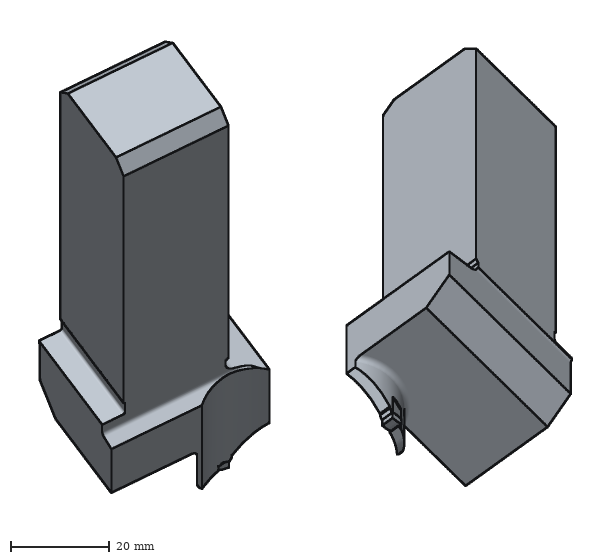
import cadquery as cq
import math

shank_size = 25.0
shank_top = 103.0
end_chamfer = 3.0

head_width = 28.59
head_front = -5.1
head_back = 32.99
shelf_height = 19.1
side_inset = 0.35
side_chamfer = 6.2
cove_top = 18.75
cove_bottom = 17.65
slope_angle = 15.0
slope = math.tan(math.radians(slope_angle))
slope_end_height = 14.9
side_fillet = 1.0
back_fillet = 2.6

front_neck_depth = 0.35
front_neck_top = 22.9
front_neck_fillet = 0.6
back_neck_depth = 0.7
back_neck_top = 21.2

blade_center = (34.0, 25.3)
blade_radius = 11.4
blade_bottom = -14.75
blade_fillet = 1.2
scallop_center = (38.3, 25.1)
scallop_radius = 13.0
heel_radius = 4.2
rake_start = -3.15
rake_end = (25.6, -12.2)
nose_height = -12.8

flat_front = 21.2
flat_back = 24.6
flat_top = -7.5
flat_sink = 0.1
flat_clearance = 1.0

tip_left = 22.4
tip_right = 25.2
tip_face = 25.0
tip_back = 22.2
tip_top = -13.3
tip_shoulder = 23.8
tip_face_top = -13.9
tip_heel = -14.95
tip_knee = (23.4, -15.65)
tip_edge = -16.0


def head_and_shank():
    """Common volume of the outline along X and the outline along Y."""
    side_slope_top = slope_end_height + slope * (head_width - shank_size)
    cove_height = cove_top - cove_bottom
    cove_radius = (cove_height**2 + side_inset**2) / (2 * side_inset)
    cove_mid_height = cove_height / 2
    cove_mid_inset = cove_radius - math.sqrt(cove_radius**2 - cove_mid_height**2)

    width_outline = (
        cq.Workplane("XZ", origin=(0, head_front, 0))
        .moveTo(head_width, 0)
        .lineTo(side_inset + side_chamfer, 0)
        .lineTo(side_inset, side_chamfer)
        .lineTo(side_inset, cove_bottom)
        .threePointArc((side_inset - cove_mid_inset, cove_bottom + cove_mid_height), (0, cove_top))
        .lineTo(0, shank_top - end_chamfer)
        .lineTo(end_chamfer, shank_top)
        .lineTo(shank_size - end_chamfer, shank_top)
        .lineTo(shank_size, shank_top - end_chamfer)
        .lineTo(shank_size, side_slope_top)
        .lineTo(head_width, slope_end_height)
        .close()
        .extrude(head_front - head_back)
    )
    width_outline = fillet_at(width_outline, "|Y", (shank_size, head_front, side_slope_top), side_fillet)

    back_neck = shank_size - back_neck_depth
    back_slope_top = slope_end_height + slope * (head_back - back_neck)
    depth_outline = (
        cq.Workplane("YZ")
        .moveTo(head_front, 0)
        .lineTo(head_back, 0)
        .lineTo(head_back, slope_end_height)
        .lineTo(back_neck, back_slope_top)
        .lineTo(back_neck, back_neck_top - back_neck_depth)
        .lineTo(shank_size, back_neck_top)
        .lineTo(shank_size, shank_top)
        .lineTo(0, shank_top)
        .lineTo(0, front_neck_top)
        .lineTo(front_neck_depth, front_neck_top - front_neck_depth)
        .lineTo(front_neck_depth, shelf_height)
        .lineTo(head_front, shelf_height)
        .close()
        .extrude(head_width)
    )
    depth_outline = fillet_at(depth_outline, "|X", (0, back_neck, back_slope_top), back_fillet)
    depth_outline = fillet_at(depth_outline, "|X", (0, front_neck_depth, shelf_height), front_neck_fillet)
    return width_outline.intersect(depth_outline)


def fillet_at(body, direction, corner, radius):
    """Round the edge that runs along the given direction through a corner point."""
    nearest = cq.selectors.NearestToPointSelector(corner)
    return body.edges(direction).edges(nearest).fillet(radius)


def blade():
    """Round column flared into the head, trimmed to the head faces and its side outline."""
    column = (
        cq.Workplane("XZ", origin=(*blade_center, 0))
        .moveTo(0, 0)
        .lineTo(blade_radius + blade_fillet, 0)
        .radiusArc((blade_radius, -blade_fillet), -blade_fillet)
        .lineTo(blade_radius, blade_bottom)
        .lineTo(0, blade_bottom)
        .close()
        .revolve(360, (0, 0), (0, 1))
    )

    half_chord = math.sqrt(blade_radius**2 - (blade_center[0] - head_width) ** 2)
    heel_front = blade_center[1] - half_chord
    side_outline = (
        cq.Workplane("YZ")
        .moveTo(head_front, 0)
        .lineTo(head_back, 0)
        .lineTo(head_back, rake_start)
        .lineTo(*rake_end)
        .lineTo(rake_end[0], nose_height)
        .lineTo(tip_face, tip_face_top)
        .lineTo(tip_shoulder, tip_top)
        .lineTo(tip_back, tip_top)
        .lineTo(tip_back, blade_bottom)
        .lineTo(heel_front + heel_radius, blade_bottom)
        .radiusArc((heel_front, blade_bottom + heel_radius), heel_radius)
        .lineTo(heel_front, -blade_fillet)
        .lineTo(head_front, -blade_fillet)
        .close()
        .extrude(head_width)
    )
    return column.intersect(side_outline).cut(clearance_flat())


def clearance_flat():
    """Cutter whose inner face runs along a chord of the blade, sunk slightly below it."""

    def chord_end(y):
        reach = math.sqrt(blade_radius**2 - (y - blade_center[1]) ** 2)
        return (blade_center[0] - reach + flat_sink, y)

    outside = blade_center[0] - blade_radius - flat_clearance
    return (
        cq.Workplane("XY", origin=(0, 0, flat_top))
        .moveTo(outside, flat_front)
        .lineTo(*chord_end(flat_front))
        .lineTo(*chord_end(flat_back))
        .lineTo(outside, flat_back)
        .close()
        .extrude(blade_bottom - flat_top)
    )


def scallop():
    """Vertical round cutter that hollows the head and the inside of the blade."""
    return (
        cq.Workplane("XY", origin=(0, 0, blade_bottom))
        .center(*scallop_center)
        .circle(scallop_radius)
        .extrude(shank_top - blade_bottom)
    )


def make_holder():
    return head_and_shank().union(blade()).cut(scallop())


def make_tip():
    """Cutting tip in the notch at the blade's end, relieved behind its cutting edge."""
    return (
        cq.Workplane("YZ", origin=(tip_left, 0, 0))
        .moveTo(tip_face, tip_face_top)
        .lineTo(tip_shoulder, tip_top)
        .lineTo(tip_back, tip_top)
        .lineTo(tip_back, tip_heel)
        .lineTo(*tip_knee)
        .lineTo(tip_face, tip_edge)
        .close()
        .extrude(tip_right - tip_left)
    )


holder = make_holder()
tip = make_tip()

result = cq.Compound.makeCompound([holder.val(), tip.val()])